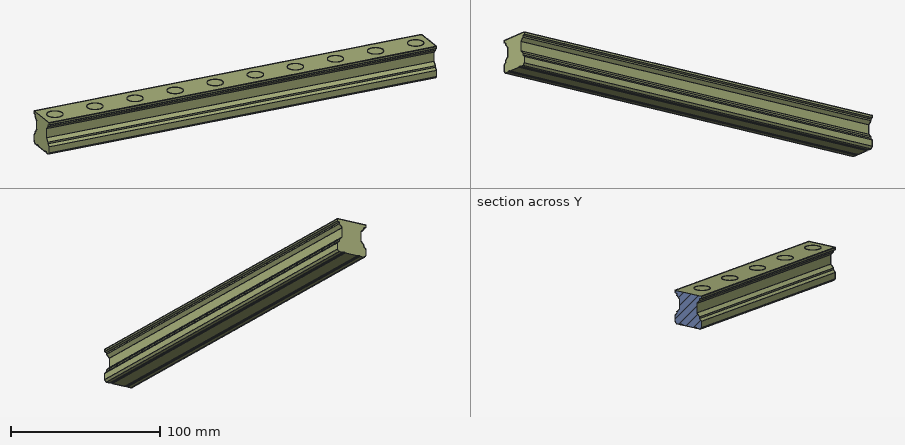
import cadquery as cq

length = 290.0
width = 23.0
height = 23.5
half_width = width / 2

top_chamfer = 0.3
bottom_chamfer = 1.5

land_half_width = 10.0
waist_half_width = 7.5
waist_slope = land_half_width - waist_half_width
flank_slope = half_width - land_half_width

lip_bottom = height - 1.7
upper_land_top = height - 2.3
upper_land_bottom = height - 3.5

lower_land_top = 8.7
lower_land_bottom = 7.5

groove_inner_wall = 5.2
groove_width = 1.5
groove_depth = 0.44

cap_count = 10
cap_diameter = 11.0
cap_depth = 0.15
cap_pitch = length / (cap_count - 1 + 2 / 3)


def rail_body():
    """Symmetric rail profile extruded along Y; every slope except the lip's is at 45 degrees."""
    right_half = [
        (0, 0),
        (half_width - bottom_chamfer, 0),
        (half_width, bottom_chamfer),
        (half_width, lower_land_bottom - flank_slope),
        (land_half_width, lower_land_bottom),
        (land_half_width, lower_land_top),
        (waist_half_width, lower_land_top + waist_slope),
        (waist_half_width, upper_land_bottom - waist_slope),
        (land_half_width, upper_land_bottom),
        (land_half_width, upper_land_top),
        (half_width, lip_bottom),
        (half_width, height - top_chamfer),
        (half_width - top_chamfer, height),
        (0, height),
    ]
    half = cq.Workplane("XZ").polyline(right_half).close().extrude(length / 2, both=True)
    return half.union(half.mirror("YZ")).clean()


def underside_grooves():
    """Pair of shallow grooves running the full length of the underside."""
    center_x = groove_inner_wall + groove_width / 2
    return (
        cq.Workplane("XY")
        .pushPoints([(-center_x, 0), (center_x, 0)])
        .rect(groove_width, length)
        .extrude(groove_depth)
    )


def cap_seats():
    """Row of shallow round recesses in the top face."""
    return (
        cq.Workplane("XY", origin=(0, 0, height))
        .rarray(3, cap_pitch, 1, cap_count)
        .circle(cap_diameter / 2)
        .extrude(-cap_depth)
    )


result = rail_body().cut(cap_seats()).cut(underside_grooves())